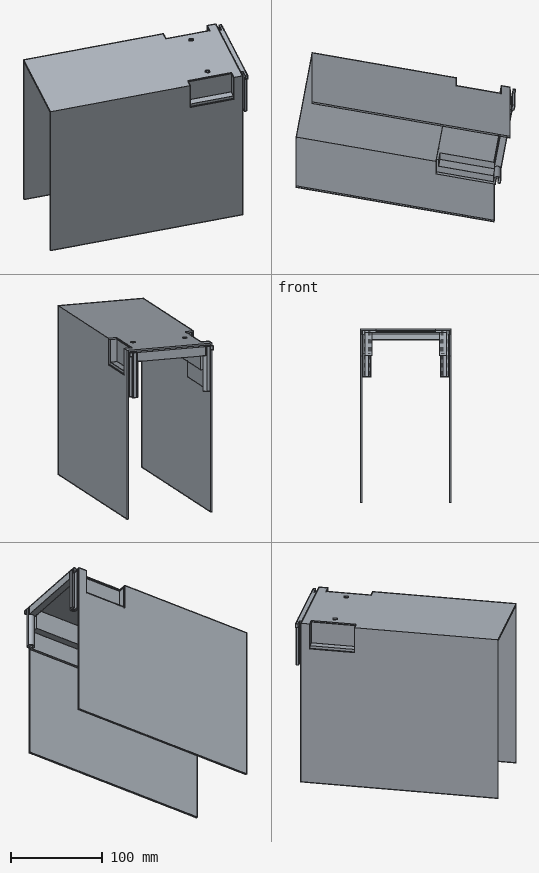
import cadquery as cq
import math


total_length = 226.0
cover_width = 99.0
cover_height = 190.0
rear_projection = 6.0
cover_length = total_length - rear_projection
half_width = cover_width / 2

sheet = 1.8
notch_setback = 10.0
notch_length = 50.0
notch_width = 9.5
notch_height = 29.8
notch_front = -(notch_setback + notch_length)
hole_diameter = 5.0
hole_spacing = 60.1
hole_y = -34.4

frame_wall = 2.5
side_gap = 0.7
shell_side = half_width - sheet - side_gap
shell_inner_side = shell_side - frame_wall
shell_ceiling = -(sheet + frame_wall)
frame_bottom = -52.5
shell_front = notch_front - 2 * frame_wall
relief_depth = 1.0
pad_length = 2 * hole_diameter
relief_width = hole_spacing + hole_diameter

pocket_inner_side = half_width - 10.5
pocket_floor = -27.1
pocket_floor_thickness = 2.3
pocket_box_inner_side = pocket_inner_side - frame_wall

flange_rear = 1.0
lip_front = 3.5
groove_bottom = half_width - 9.7
lip_side = half_width - 4.3
lip_chamfer = 0.8
tab_side = half_width - 1.0
tab_bottom = -6.0
panel_front = flange_rear - frame_wall
post_width = 11.5
post_inner_side = half_width - post_width
post_nose = 3.0
post_draft = math.radians(5)
crossbar_bottom = -12.0
crossbar_step = 1.1
crossbar_draft = math.radians(1.3)


def block(x_range, y_range, z_range):
    """Axis-aligned box given by its limits along each axis."""
    low, high = zip(x_range, y_range, z_range)
    sizes = [b - a for a, b in zip(low, high)]
    return cq.Workplane("XY").box(*sizes, centered=False).translate(low)


def both_sides(shape):
    """The shape together with its mirror image across the middle plane."""
    return shape.union(shape.mirror("YZ"))


def make_cover():
    """Folded sheet, open at the front, rear and bottom."""
    y_range = (-cover_length, 0)
    inner_side = half_width - sheet
    cover = block((-half_width, half_width), y_range, (-cover_height, 0))
    cover = cover.cut(block((-inner_side, inner_side), y_range, (-cover_height, -sheet)))
    notch = block(
        (half_width - notch_width, half_width), (notch_front, -notch_setback), (-notch_height, 0)
    )
    holes = (
        cq.Workplane("XY")
        .pushPoints([(-hole_spacing / 2, hole_y), (hole_spacing / 2, hole_y)])
        .circle(hole_diameter / 2)
        .extrude(-sheet)
    )
    return cover.cut(both_sides(notch)).cut(holes)


def make_shell():
    """Inverted U under the cover, its top relieved except for a pad between the screw holes."""
    y_range = (shell_front, flange_rear)
    shell = block((-shell_side, shell_side), y_range, (frame_bottom, -sheet))
    inside = block((-shell_inner_side, shell_inner_side), y_range, (frame_bottom, shell_ceiling))
    z_range = (-sheet - relief_depth, -sheet)
    pad_y = (hole_y - pad_length / 2, hole_y + pad_length / 2)
    relief = block((-relief_width / 2, relief_width / 2), (shell_front, pad_y[1]), z_range)
    pad = block((-hole_spacing / 2, hole_spacing / 2), pad_y, z_range)
    return shell.cut(inside).cut(relief.cut(pad))


def make_post():
    """Right-hand upright: grooved on its outer edge, drafted in front and round on its inner edge."""
    nose_start = post_inner_side + post_nose
    draft_rise = (shell_inner_side - nose_start) * math.tan(post_draft)
    return (
        cq.Workplane("XY", origin=(0, 0, frame_bottom))
        .moveTo(shell_side, flange_rear)
        .lineTo(shell_side, panel_front + draft_rise)
        .lineTo(shell_inner_side, panel_front + draft_rise)
        .lineTo(nose_start, panel_front)
        .threePointArc(
            (post_inner_side, (panel_front + rear_projection) / 2), (nose_start, rear_projection)
        )
        .lineTo(lip_side - lip_chamfer, rear_projection)
        .lineTo(lip_side, rear_projection - lip_chamfer)
        .lineTo(lip_side, lip_front)
        .lineTo(groove_bottom, lip_front)
        .lineTo(groove_bottom, flange_rear)
        .close()
        .extrude(-sheet - frame_bottom)
    )


def make_crossbar():
    """Bar that joins the two posts under the top of the shell, ending where their grooves begin."""
    step_bottom = shell_ceiling - crossbar_step
    draft_rise = (step_bottom - crossbar_bottom) * math.tan(crossbar_draft)
    profile = [
        (rear_projection, -sheet),
        (panel_front - crossbar_step, -sheet),
        (panel_front - crossbar_step, step_bottom),
        (panel_front, step_bottom),
        (panel_front + draft_rise, crossbar_bottom),
        (rear_projection, crossbar_bottom),
    ]
    return cq.Workplane("YZ").polyline(profile).close().extrude(groove_bottom, both=True)


def make_lip_tab():
    """Tab at the top of the right-hand lip, reaching further out than the lip below it."""
    return block((lip_side, tab_side), (lip_front, rear_projection), (tab_bottom, -sheet))


def make_pocket_box():
    """Right-hand block that carries the hand pocket."""
    return block(
        (pocket_box_inner_side, shell_side),
        (notch_front - frame_wall, panel_front),
        (pocket_floor - pocket_floor_thickness, -sheet),
    )


def make_pocket():
    """Right-hand pocket, open to the side and the top through the notch in the cover."""
    return block(
        (pocket_inner_side, shell_side), (notch_front, -notch_setback), (pocket_floor, -sheet)
    )


def make_frame():
    """Rear panel, shell and hand pockets in one piece."""
    frame = make_shell().union(make_crossbar())
    for side_feature in (make_post(), make_lip_tab(), make_pocket_box()):
        frame = frame.union(both_sides(side_feature))
    return frame.cut(both_sides(make_pocket())).clean()


cover = make_cover()
frame = make_frame()
result = cq.Compound.makeCompound([cover.solids().val(), frame.solids().val()])